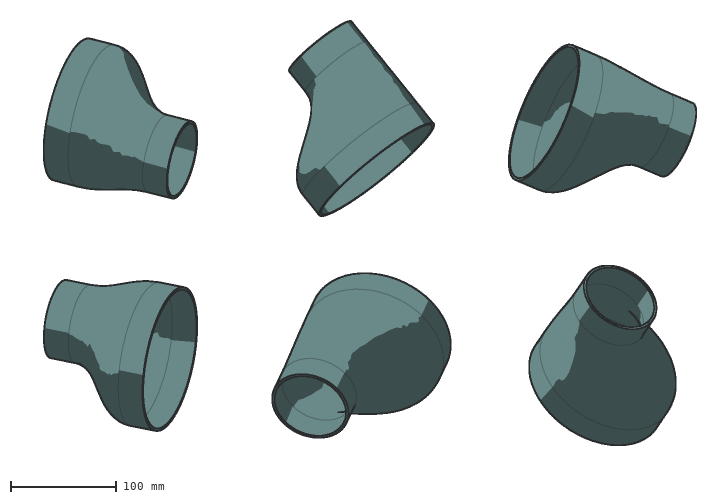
import cadquery as cq

total_length = 127.0
collar_length = 25.0
large_diameter = 139.7
large_bore = 134.5
small_diameter = 76.1

wall = (large_diameter - large_bore) / 2
large_radius = large_diameter / 2
small_radius = small_diameter / 2
transition_length = total_length - 2 * collar_length
eccentricity = large_radius - small_radius

section_count = 13
steepness_y = 0.6
steepness_z = 0.2

x_axis = cq.Vector(1, 0, 0)
y_axis = cq.Vector(0, 1, 0)
full_turn = 360


def s_curve(t, steepness):
    """Blend from 0 to 1 with level ends, mixing a cubic and a quintic step."""
    gentle = t**2 * (3 - 2 * t)
    steep = t**3 * (10 - 15 * t + 6 * t**2)
    return gentle + steepness * (steep - gentle)


def cylinder_along_x(x_start, y_centre, radius):
    return cq.Workplane("YZ", origin=(x_start, y_centre, 0)).circle(radius).extrude(collar_length)


def transition_section(t, start_radius, end_radius):
    """Nearly round ellipse at fraction t of the way from the large to the small end."""
    blend_y = s_curve(t, steepness_y)
    blend_z = s_curve(t, steepness_z)
    centre = cq.Vector(collar_length + t * transition_length, -eccentricity * blend_y, 0)
    radius_y = start_radius + (end_radius - start_radius) * blend_y
    radius_z = start_radius + (end_radius - start_radius) * blend_z
    ellipse = cq.Edge.makeEllipse(radius_y, radius_z, centre, x_axis, y_axis, 0, full_turn)
    return cq.Wire.assembleEdges([ellipse])


def transition(start_radius, end_radius):
    """Smooth loft from a centred circle to a smaller, shifted one."""
    steps = section_count - 1
    sections = [transition_section(i / steps, start_radius, end_radius) for i in range(section_count)]
    return cq.Workplane(obj=cq.Solid.makeLoft(sections))


def reducer_body(start_radius, end_radius):
    """Large collar, S-shaped transition and shifted small collar as one solid."""
    large_collar = cylinder_along_x(0, 0, start_radius)
    small_collar = cylinder_along_x(total_length - collar_length, -eccentricity, end_radius)
    return large_collar.union(transition(start_radius, end_radius)).union(small_collar)


outer = reducer_body(large_radius, small_radius)
bore = reducer_body(large_radius - wall, small_radius - wall)
result = outer.cut(bore)